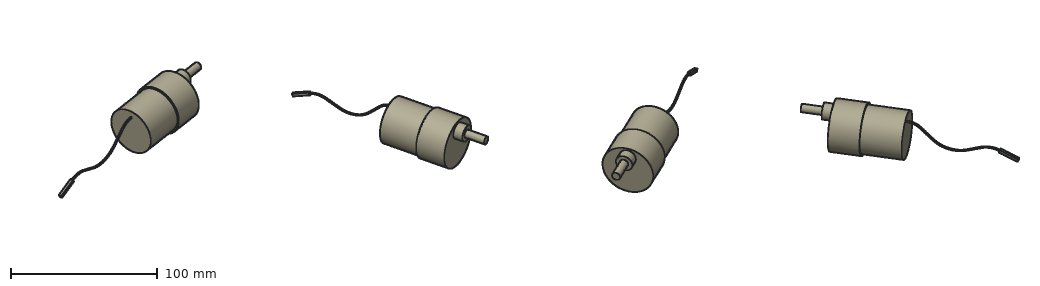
import cadquery as cq
import math


gearbox_diameter = 37.1
gearbox_length = 22.1
motor_diameter = 34.4
motor_length = 29.2

shaft_offset = 11.0
boss_diameter = 12.0
boss_length = 7.0
shaft_diameter = 6.0
shaft_length = 15.3

cable_diameter = 1.2
cable_exit_height = 11.85
exit_bend_radius = 13.3
descent_slope = 45.0
descent_length = 12.5
sag_bend_radius = 22.0
rise_slope = -21.6
rise_length = 10.6
crest_bend_radius = 16.3
plug_slope = 24.8

plug_size = 2.2
overall_length = 151.83


def cylinder(diameter, start_y, length, height=0.0):
    """Cylinder along +Y from start_y, with its axis at the given Z height and its seam on top."""
    base = cq.Plane(origin=(0, start_y, height), xDir=(0, 0, 1), normal=(0, 1, 0))
    return cq.Workplane(base).circle(diameter / 2).extrude(length)


def advance(point, slope, distance):
    """Point reached by moving along a slope in (Y, Z) coordinates."""
    angle = math.radians(slope)
    return (point[0] - distance * math.cos(angle), point[1] - distance * math.sin(angle))


def add_bend(path, point, radius, start_slope, end_slope):
    """Append an arc turning from one slope to another; return the path and its end."""
    turn = end_slope - start_slope

    def point_after(angle):
        chord = 2 * radius * math.sin(math.radians(abs(angle)) / 2)
        return advance(point, start_slope + angle / 2, chord)

    end = point_after(turn)
    return path.threePointArc(point_after(turn / 2), end), end


def add_straight(path, point, slope, length):
    """Append a straight run; return the path and its end."""
    end = advance(point, slope, length)
    return path.lineTo(*end), end


def make_cable():
    """Swept round cable and the (Y, Z) point of its free end."""
    start = (-motor_length, cable_exit_height)
    path = cq.Workplane("YZ").moveTo(*start)
    path, end = add_bend(path, start, exit_bend_radius, 0, descent_slope)
    path, end = add_straight(path, end, descent_slope, descent_length)
    path, end = add_bend(path, end, sag_bend_radius, descent_slope, rise_slope)
    path, end = add_straight(path, end, rise_slope, rise_length)
    path, end = add_bend(path, end, crest_bend_radius, rise_slope, plug_slope)
    section = cq.Workplane("XZ", origin=(0, *start)).circle(cable_diameter / 2)
    return section.sweep(path), end


def make_plug(start):
    """Square bar centred on the cable end, reaching the overall length of the part."""
    angle = math.radians(plug_slope)
    far_y = gearbox_length + boss_length + shaft_length - overall_length
    corner_reach = plug_size / 2 * math.sin(angle)
    length = (start[0] - far_y - corner_reach) / math.cos(angle)
    direction = (0, -math.cos(angle), -math.sin(angle))
    face = cq.Plane(origin=(0, *start), xDir=(1, 0, 0), normal=direction)
    return cq.Workplane(face).rect(plug_size, plug_size).extrude(length)


gearbox = cylinder(gearbox_diameter, 0, gearbox_length)
motor = cylinder(motor_diameter, -motor_length, motor_length)
boss = cylinder(boss_diameter, gearbox_length, boss_length, shaft_offset)
shaft = cylinder(shaft_diameter, gearbox_length + boss_length, shaft_length, shaft_offset)
cable, cable_end = make_cable()
plug = make_plug(cable_end)

result = gearbox.union(motor).union(boss).union(shaft).union(cable).union(plug)